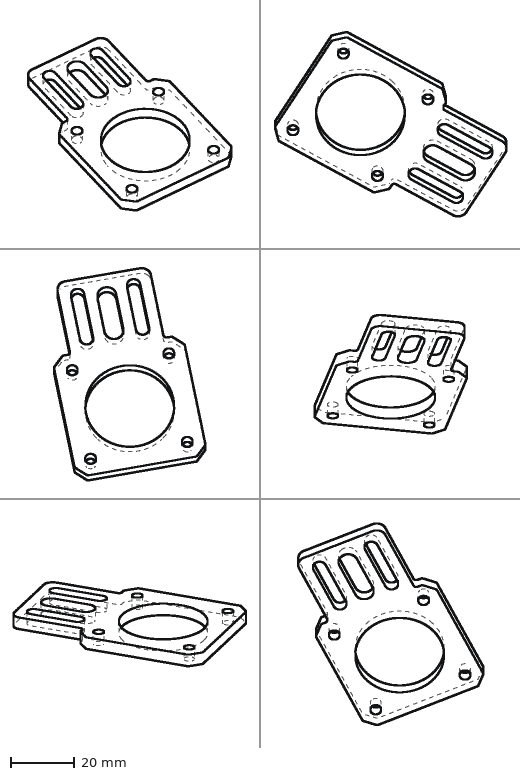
import cadquery as cq

length = 67.0
body_size = 42.0
thickness = 4.0

body_chamfer = 3.5
chamfer_edge_radius = 0.8
bore_diameter = 28.0
bolt_spacing = 31.0
bolt_diameter = 3.4

tab_width = 30.0
tab_corner_radius = 3.0
tab_root_radius = 1.0

side_slot_length = 19.35
side_slot_width = 4.2
side_slot_offset = 9.0
side_slot_inset = 3.3
middle_slot_length = 18.0
middle_slot_width = 6.0
middle_slot_inset = 4.4

half_body = body_size / 2
tab_end_x = half_body - length


def make_body():
    """Square plate with chamfered corners and softened chamfer edges."""
    body = cq.Workplane("XY").rect(body_size, body_size).extrude(thickness)
    body = body.edges("|Z").chamfer(body_chamfer)
    return body.edges("|Z").fillet(chamfer_edge_radius)


def make_tab():
    """Flat tab running from its rounded free end to the bore centre line."""
    tab = (
        cq.Workplane("XY")
        .center(tab_end_x / 2, 0)
        .rect(-tab_end_x, tab_width)
        .extrude(thickness)
    )
    return tab.edges("|Z and <X").fillet(tab_corner_radius)


def round_tab_root(plate):
    """Fillet the two inside corners where the tab meets the body."""
    root = cq.selectors.BoxSelector(
        (-half_body - tab_root_radius, -tab_width / 2 - tab_root_radius, 0),
        (-half_body + tab_root_radius, tab_width / 2 + tab_root_radius, thickness),
    )
    return plate.edges("|Z").edges(root).fillet(tab_root_radius)


def make_slot(inset, y, slot_length, slot_width):
    """Cutter for a round-ended slot starting at an inset from the tab's free end."""
    return (
        cq.Workplane("XY")
        .center(tab_end_x + inset + slot_length / 2, y)
        .slot2D(slot_length, slot_width)
        .extrude(thickness)
    )


plate = round_tab_root(make_body().union(make_tab()))

plate = plate.cut(cq.Workplane("XY").circle(bore_diameter / 2).extrude(thickness))
bolt_holes = (
    cq.Workplane("XY")
    .rect(bolt_spacing, bolt_spacing, forConstruction=True)
    .vertices()
    .circle(bolt_diameter / 2)
    .extrude(thickness)
)
plate = plate.cut(bolt_holes)

for slot_y in (-side_slot_offset, side_slot_offset):
    plate = plate.cut(make_slot(side_slot_inset, slot_y, side_slot_length, side_slot_width))
plate = plate.cut(make_slot(middle_slot_inset, 0, middle_slot_length, middle_slot_width))

result = plate